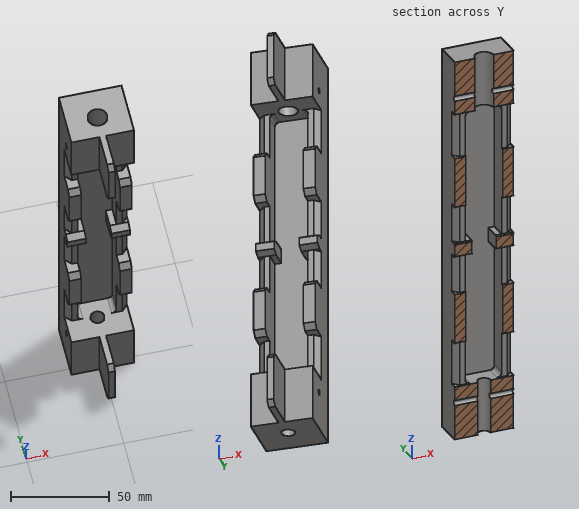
import cadquery as cq

LENGTH = 214.0
WIDTH = 32.5
TOTAL_DEPTH = 48.0

BLOCK_DEPTH = 27.8
BLOCK_LENGTH = 30.0
FIN_THICKNESS = 3.5
CORNER_CHAMFER = 3.0

WALL_THICKNESS = 6.2
WALL_DEPTH = 15.2
WALL_CHAMFER = 3.2
FLOOR_THICKNESS = 6.0
POCKET_CORNER_RADIUS = 2.5

TAB_DEPTH = 23.1
TAB_LENGTH = 27.8
TAB_OFFSET = 38.5
CLIP_DEPTH = 19.0
CLIP_WIDTH = 9.6
CLIP_LENGTH = 7.7
CLIP_TIP_LENGTH = 4.3

BORE_OFFSET = 16.0
TOP_BORE_DIAMETER = 10.0
BOTTOM_BORE_DIAMETER = 7.0
PIN_HOLE_DIAMETER = 2.5
PIN_HOLE_FROM_END = 20.8

SIDES = (-1, 1)
half_width = WIDTH / 2
half_length = LENGTH / 2
channel_length = LENGTH - 2 * BLOCK_LENGTH
block_center = half_length - BLOCK_LENGTH / 2


def block(width, back, front, length, x=0, z=0):
    """Box spanning two depths, measured forward from the back face."""
    center = (x, -(back + front) / 2, z)
    return cq.Workplane("XY").box(width, front - back, length).translate(center)


def plate(width, back, front, length, x, z):
    """Upright plate with its two front corners chamfered."""
    body = block(width, back, front, length, x, z)
    return body.faces("<Y").edges("|X").chamfer(CORNER_CHAMFER)


def side_wall(side):
    """Channel wall with its outer front edge sloped off."""
    outer = side * half_width
    inner = side * (half_width - WALL_THICKNESS)
    outline = [
        (outer, 0),
        (inner, 0),
        (inner, -WALL_DEPTH),
        (side * (half_width - WALL_CHAMFER), -WALL_DEPTH),
        (outer, -(WALL_DEPTH - WALL_CHAMFER)),
    ]
    wall = cq.Workplane("XY").polyline(outline).close()
    return wall.extrude(channel_length / 2, both=True)


def clip(side):
    """Middle clip, reaching inwards over the pocket and tapered at its front."""
    outline = [
        (-FLOOR_THICKNESS, -CLIP_LENGTH / 2),
        (-WALL_DEPTH, -CLIP_LENGTH / 2),
        (-CLIP_DEPTH, -CLIP_TIP_LENGTH / 2),
        (-CLIP_DEPTH, CLIP_TIP_LENGTH / 2),
        (-WALL_DEPTH, CLIP_LENGTH / 2),
        (-FLOOR_THICKNESS, CLIP_LENGTH / 2),
    ]
    center_x = side * (half_width - CLIP_WIDTH / 2)
    profile = cq.Workplane("YZ").polyline(outline).close()
    return profile.extrude(CLIP_WIDTH / 2, both=True).translate((center_x, 0, 0))


def pocket():
    """Channel interior with rounded corners."""
    width = WIDTH - 2 * WALL_THICKNESS
    body = block(width, FLOOR_THICKNESS, WALL_DEPTH, channel_length)
    return body.edges("|Y").fillet(POCKET_CORNER_RADIUS)


channel_fill = block(WIDTH - 2 * WALL_THICKNESS, 0, WALL_DEPTH, channel_length)
result = channel_fill.union(side_wall(-1)).union(side_wall(1)).cut(pocket())

for end in SIDES:
    z = end * block_center
    result = result.union(block(WIDTH, 0, BLOCK_DEPTH, BLOCK_LENGTH, z=z))
    result = result.union(plate(FIN_THICKNESS, BLOCK_DEPTH, TOTAL_DEPTH, BLOCK_LENGTH, 0, z))

for side in SIDES:
    tab_x = side * (half_width - WALL_THICKNESS / 2)
    for end in SIDES:
        result = result.union(plate(WALL_THICKNESS, 0, TAB_DEPTH, TAB_LENGTH, tab_x, end * TAB_OFFSET))
    result = result.union(clip(side))

for end, diameter in ((1, TOP_BORE_DIAMETER), (-1, BOTTOM_BORE_DIAMETER)):
    bore = cq.Workplane("XY").circle(diameter / 2).extrude(BLOCK_LENGTH / 2, both=True)
    result = result.cut(bore.translate((0, -BORE_OFFSET, end * block_center)))
    pin = cq.Workplane("YZ").circle(PIN_HOLE_DIAMETER / 2).extrude(half_width, both=True)
    result = result.cut(pin.translate((0, -BORE_OFFSET, end * (half_length - PIN_HOLE_FROM_END))))